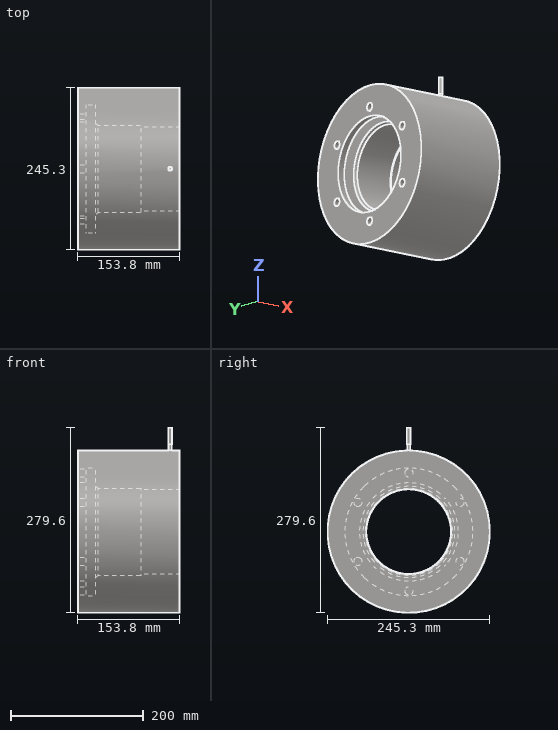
import cadquery as cq

drum_length = 153.8
drum_diameter = 245.3
drum_radius = drum_diameter / 2
total_height = 279.6

opening_radius = 74.5
lip_thickness = 12.0
cavity_radius = 96.5
cavity_floor = 26.0

bore_radius = 65.7
mouth_radius = 69.0
mouth_chamfer_depth = 4.5
end_bore_radius = 63.8
shoulder_depth = 95.0

hole_count = 6
hole_circle_radius = 89.0
hole_radius = 6.2

pin_x = 139.3
pin_radius = 3.0
neck_radius = 2.5
neck_height = 9.0
pin_root_depth = 2.8


def make_drum():
    """Revolve the half section of the drum about the X axis."""
    chamfer_end = cavity_floor + mouth_chamfer_depth
    return (
        cq.Workplane("XY")
        .moveTo(0, drum_radius)
        .lineTo(0, opening_radius)
        .lineTo(lip_thickness, opening_radius)
        .lineTo(lip_thickness, cavity_radius)
        .lineTo(cavity_floor, cavity_radius)
        .lineTo(cavity_floor, mouth_radius)
        .lineTo(chamfer_end, bore_radius)
        .lineTo(shoulder_depth, bore_radius)
        .lineTo(shoulder_depth, end_bore_radius)
        .lineTo(drum_length, end_bore_radius)
        .lineTo(drum_length, drum_radius)
        .close()
        .revolve(360, (0, 0, 0), (1, 0, 0))
    )


def make_lip_holes():
    """Ring of cylinders, the first one straight above the axis."""
    return (
        cq.Workplane("YZ")
        .polarArray(hole_circle_radius, 90, 360, hole_count)
        .circle(hole_radius)
        .extrude(lip_thickness)
    )


def make_pin():
    """Thin neck rooted in the drum, topped by a thicker pin."""
    root_z = drum_radius - pin_root_depth
    neck_top = drum_radius + neck_height
    pin_top = total_height - drum_radius
    neck = (
        cq.Workplane("XY", origin=(pin_x, 0, root_z))
        .circle(neck_radius)
        .extrude(neck_top - root_z)
    )
    head = (
        cq.Workplane("XY", origin=(pin_x, 0, neck_top))
        .circle(pin_radius)
        .extrude(pin_top - neck_top)
    )
    return neck.union(head)


result = make_drum().cut(make_lip_holes()).union(make_pin())